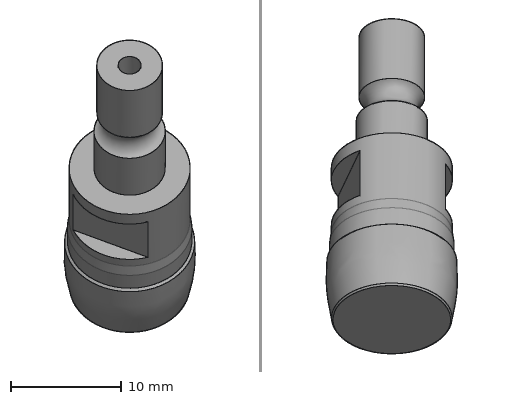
import cadquery as cq
import math

total_height = 31.45
housing_height = 16.92

foot_radius = 5.35
foot_edge_radius = 5.47
foot_edge_z = 0.2
bulge_radius = 5.98
bulge_z = 4.55
bulge_top_radius = 5.9
bulge_top_z = 6.45
collar_radius = 5.65
collar_bottom_z = 6.65
collar_top_z = 8.45
body_radius = 5.5
body_bottom_z = 9.6

flat_spacing = 8.05
flat_bottom_z = 10.55
flat_top_z = 15.55

pin_lower_radius = 3.25
pin_upper_radius = 3.0
neck_radius = 2.33
neck_bottom_z = 22.15
neck_waist_z = 23.52
neck_top_z = 24.78

hole_radius = 1.05
hole_depth = 3.15
drill_point_angle = 118.0
drill_point_depth = hole_radius / math.tan(math.radians(drill_point_angle / 2))


def revolve_profile(profile):
    """Turn a closed half profile (radius, height) about the Z axis."""
    return profile.close().revolve(360, (0, 0, 0), (0, 1, 0))


def make_wrench_flats():
    """Two blocks that cut parallel flats on the -Y and +Y sides."""
    cut_width = 2 * body_radius
    cut_depth = body_radius
    flat_height = flat_top_z - flat_bottom_z
    blocks = cq.Workplane("XY")
    for side in (-1, 1):
        block = (
            cq.Workplane("XY", origin=(0, side * (flat_spacing + cut_depth) / 2, flat_bottom_z))
            .box(cut_width, cut_depth, flat_height, centered=(True, True, False))
        )
        blocks = blocks.add(block)
    return blocks.combine()


def make_housing():
    """Turned housing with a bulged foot, a collar and two wrench flats."""
    profile = (
        cq.Workplane("XZ")
        .lineTo(foot_radius, 0)
        .lineTo(foot_edge_radius, foot_edge_z)
        .threePointArc((bulge_radius, bulge_z), (bulge_top_radius, bulge_top_z))
        .lineTo(collar_radius, collar_bottom_z)
        .lineTo(collar_radius, collar_top_z)
        .lineTo(body_radius, body_bottom_z)
        .lineTo(body_radius, housing_height)
        .lineTo(0, housing_height)
    )
    return revolve_profile(profile).cut(make_wrench_flats())


def make_pin():
    """Turned pin with a rounded neck and a drilled hole, standing on the housing."""
    hole_bottom_z = total_height - hole_depth
    profile = (
        cq.Workplane("XZ")
        .moveTo(0, housing_height)
        .lineTo(pin_lower_radius, housing_height)
        .lineTo(pin_lower_radius, neck_bottom_z)
        .threePointArc((neck_radius, neck_waist_z), (pin_upper_radius, neck_top_z))
        .lineTo(pin_upper_radius, total_height)
        .lineTo(hole_radius, total_height)
        .lineTo(hole_radius, hole_bottom_z)
        .lineTo(0, hole_bottom_z - drill_point_depth)
    )
    return revolve_profile(profile)


housing = make_housing()
pin = make_pin()

result = cq.Compound.makeCompound([housing.val(), pin.val()])